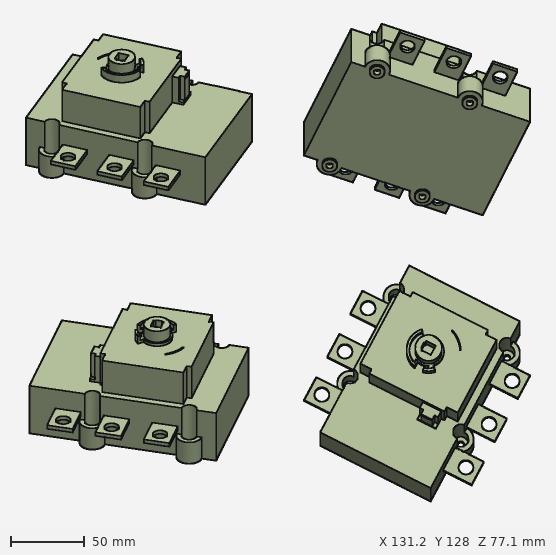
import cadquery as cq
import math

BASE_LENGTH = 131.2
BASE_WIDTH = 84.5
BASE_HEIGHT = 38.6
POLE_PITCH = 34.0
MIDDLE_POLE_X = 4.3
POLE_XS = [MIDDLE_POLE_X + step * POLE_PITCH for step in (-1, 0, 1)]

TERMINAL_WIDTH = 18.0
TERMINAL_THICKNESS = 2.9
TERMINAL_BOTTOM = 20.5
TERMINAL_SPAN = 128.0
TERMINAL_HOLE_DIAMETER = 10.0
TERMINAL_HOLE_Y = (TERMINAL_SPAN - TERMINAL_WIDTH) / 2

POST_XS = [MIDDLE_POLE_X + step * POLE_PITCH for step in (-1.5, 0.5)]
POST_POINTS = [(x, side * BASE_WIDTH / 2) for x in POST_XS for side in (-1, 1)]
POST_DIAMETER = 17.6
POST_HEIGHT = 17.3
WELL_DIAMETER = 10.5
WELL_FLOOR = 2.6
FOOT_DIAMETER = 10.2
FOOT_HEIGHT = 1.8
SCREW_HOLE_DIAMETER = 4.5

HOUSING_X = MIDDLE_POLE_X - POLE_PITCH / 2
HOUSING_LENGTH = 64.0
HOUSING_WIDTH = 74.3
HOUSING_HEIGHT = 25.5
HOUSING_TOP = BASE_HEIGHT + HOUSING_HEIGHT
CORNER_STEP_X = 3.4
CORNER_STEP_Y = 8.4

KNOB_DIAMETER = 18.1
KNOB_HEIGHT = 11.2
FLANGE_DIAMETER = 21.0
FLANGE_HEIGHT = 2.2
COLLAR_OUTER_RADIUS = 15.0
COLLAR_INNER_RADIUS = 13.0
COLLAR_HEIGHT = 6.0
COLLAR_START = -135
COLLAR_END = 45
COLLAR_NOTCH_WIDTH = 6.0
COLLAR_RIB_THICKNESS = 1.8
COLLAR_RIB_HEIGHT = 3.0
SOCKET_SIZE = 7.2
SOCKET_DEPTH = 9.2
KEYWAY_WIDTH = 4.3
KEYWAY_DEPTH = 0.9

MARK_RADIUS = 21.6
MARK_WIDTH = 0.7
MARK_HEIGHT = 0.4
MARK_START = 120
MARK_END = 160

LATCH_LENGTH = 8.0
LATCH_WIDTH = 14.0
LATCH_HEIGHT = 21.1
LATCH_Y = 19.3
LATCH_NOTCH_X = 3.4
LATCH_NOTCH_Y = 2.8
LATCH_NOTCH_HEIGHT = 19.2
LATCH_BULGE = 0.5
LATCH_BULGE_HEIGHT = 17.5

OVERLAP = 1.3


def block(length, width, height, x, y, z):
    """Box centred on (x, y) and standing on level z."""
    return cq.Workplane("XY").box(length, width, height, centered=(True, True, False)).translate((x, y, z))


def discs(points, diameter, bottom, top):
    """Upright cylinders at the given points."""
    plane = cq.Workplane("XY").workplane(offset=bottom)
    return plane.pushPoints(points).circle(diameter / 2).extrude(top - bottom)


def ring_sector(inner_radius, outer_radius, start, end, height):
    """Ring segment around the knob axis between two angles in degrees, standing on the housing."""
    def polar(radius, angle):
        radians = math.radians(angle)
        return (radius * math.cos(radians), radius * math.sin(radians))

    middle = (start + end) / 2
    return (
        cq.Workplane("XY")
        .moveTo(*polar(inner_radius, start))
        .lineTo(*polar(outer_radius, start))
        .threePointArc(polar(outer_radius, middle), polar(outer_radius, end))
        .lineTo(*polar(inner_radius, end))
        .threePointArc(polar(inner_radius, middle), polar(inner_radius, start))
        .close()
        .extrude(height + OVERLAP)
        .translate((HOUSING_X, 0, HOUSING_TOP - OVERLAP))
    )


def make_base():
    """Base block with its terminals and mounting posts."""
    base = block(BASE_LENGTH, BASE_WIDTH, BASE_HEIGHT, 0, 0, 0)
    for x in POLE_XS:
        base = base.union(block(TERMINAL_WIDTH, TERMINAL_SPAN, TERMINAL_THICKNESS, x, 0, TERMINAL_BOTTOM))
    base = base.union(discs(POST_POINTS, POST_DIAMETER, 0, POST_HEIGHT))
    base = base.union(discs(POST_POINTS, FOOT_DIAMETER, -FOOT_HEIGHT, OVERLAP))

    hole_points = [(x, side * TERMINAL_HOLE_Y) for x in POLE_XS for side in (-1, 1)]
    terminal_top = TERMINAL_BOTTOM + TERMINAL_THICKNESS
    base = base.cut(discs(hole_points, TERMINAL_HOLE_DIAMETER, TERMINAL_BOTTOM, terminal_top))
    base = base.cut(discs(POST_POINTS, WELL_DIAMETER, WELL_FLOOR, BASE_HEIGHT))
    return base.cut(discs(POST_POINTS, SCREW_HOLE_DIAMETER, -FOOT_HEIGHT, WELL_FLOOR))


def make_housing():
    """Two crossed blocks leave a small step at each vertical corner."""
    height = HOUSING_HEIGHT + OVERLAP
    bottom = BASE_HEIGHT - OVERLAP
    long_block = block(HOUSING_LENGTH, HOUSING_WIDTH - 2 * CORNER_STEP_Y, height, HOUSING_X, 0, bottom)
    wide_block = block(HOUSING_LENGTH - 2 * CORNER_STEP_X, HOUSING_WIDTH, height, HOUSING_X, 0, bottom)
    mark = ring_sector(
        MARK_RADIUS - MARK_WIDTH / 2, MARK_RADIUS + MARK_WIDTH / 2, MARK_START, MARK_END, MARK_HEIGHT
    )
    return long_block.union(wide_block).union(mark)


def make_latch():
    """Side latch with two notched outer corners and a slightly bulged outer face."""
    inner_x = HOUSING_X + HOUSING_LENGTH / 2
    outer_x = inner_x + LATCH_LENGTH
    notch_bottom = BASE_HEIGHT + LATCH_HEIGHT - LATCH_NOTCH_HEIGHT
    latch = block(
        LATCH_LENGTH + OVERLAP,
        LATCH_WIDTH,
        LATCH_HEIGHT + OVERLAP,
        inner_x + (LATCH_LENGTH - OVERLAP) / 2,
        LATCH_Y,
        BASE_HEIGHT - OVERLAP,
    )
    for side in (-1, 1):
        notch_y = LATCH_Y + side * (LATCH_WIDTH - LATCH_NOTCH_Y) / 2
        notch_x = outer_x - LATCH_NOTCH_X / 2
        latch = latch.cut(
            block(LATCH_NOTCH_X, LATCH_NOTCH_Y, LATCH_NOTCH_HEIGHT, notch_x, notch_y, notch_bottom)
        )
    half_width = LATCH_WIDTH / 2 - LATCH_NOTCH_Y
    bulge = (
        cq.Workplane("XY")
        .workplane(offset=notch_bottom)
        .moveTo(outer_x - OVERLAP, LATCH_Y - half_width)
        .lineTo(outer_x, LATCH_Y - half_width)
        .threePointArc((outer_x + LATCH_BULGE, LATCH_Y), (outer_x, LATCH_Y + half_width))
        .lineTo(outer_x - OVERLAP, LATCH_Y + half_width)
        .close()
        .extrude(LATCH_BULGE_HEIGHT)
    )
    return latch.union(bulge)


def make_collar():
    """Partial collar outside the flange: a floor, an outer wall and a notch flanked by low ribs."""
    floor = ring_sector(KNOB_DIAMETER / 2, COLLAR_OUTER_RADIUS, COLLAR_START, COLLAR_END, FLANGE_HEIGHT)
    wall = ring_sector(COLLAR_INNER_RADIUS, COLLAR_OUTER_RADIUS, COLLAR_START, COLLAR_END, COLLAR_HEIGHT)
    ribs_width = COLLAR_NOTCH_WIDTH + 2 * COLLAR_RIB_THICKNESS
    ribs_x = HOUSING_X + COLLAR_INNER_RADIUS / 2
    ribs = block(COLLAR_INNER_RADIUS, ribs_width, COLLAR_RIB_HEIGHT, ribs_x, 0, HOUSING_TOP)
    notch_x = HOUSING_X + COLLAR_OUTER_RADIUS / 2
    notch = block(COLLAR_OUTER_RADIUS, COLLAR_NOTCH_WIDTH, COLLAR_HEIGHT, notch_x, 0, HOUSING_TOP)
    flange_space = discs(
        [(HOUSING_X, 0)], FLANGE_DIAMETER, HOUSING_TOP - OVERLAP, HOUSING_TOP + COLLAR_HEIGHT
    )
    return floor.union(wall).union(ribs).cut(notch).cut(flange_space)


def make_knob():
    """Round knob on a flange, surrounded by the collar, with a keyed square socket in its top."""
    axis = [(HOUSING_X, 0)]
    bottom = HOUSING_TOP - OVERLAP
    knob_top = HOUSING_TOP + KNOB_HEIGHT
    flange = discs(axis, FLANGE_DIAMETER, bottom, HOUSING_TOP + FLANGE_HEIGHT)
    knob = discs(axis, KNOB_DIAMETER, bottom, knob_top).union(flange).union(make_collar())
    socket_bottom = knob_top - SOCKET_DEPTH
    keyway_y = -(SOCKET_SIZE + KEYWAY_DEPTH) / 2
    knob = knob.cut(block(SOCKET_SIZE, SOCKET_SIZE, SOCKET_DEPTH, HOUSING_X, 0, socket_bottom))
    return knob.cut(block(KEYWAY_WIDTH, KEYWAY_DEPTH, SOCKET_DEPTH, HOUSING_X, keyway_y, socket_bottom))


result = make_base().union(make_housing()).union(make_latch()).union(make_knob())